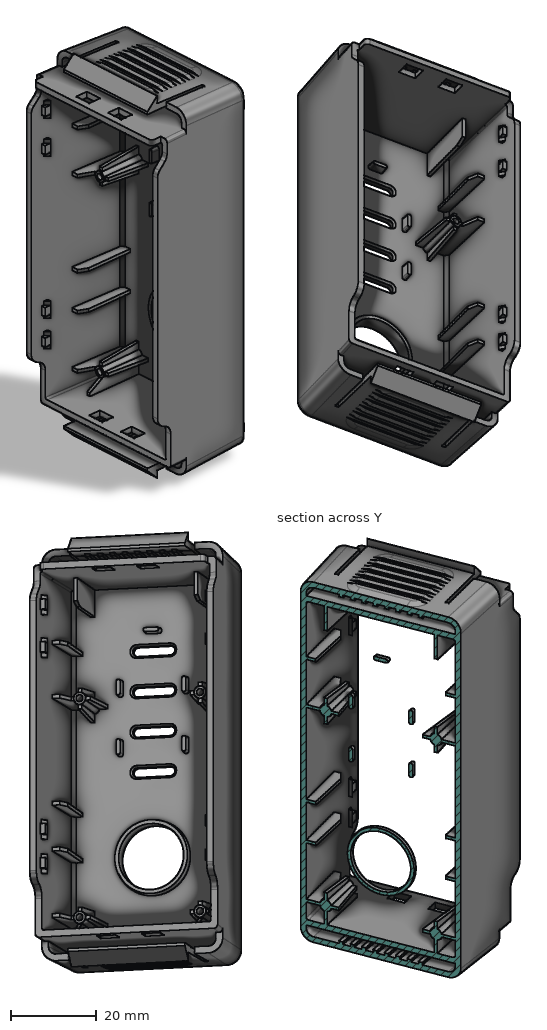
import cadquery as cq
import math


depth = 30.0
half_width = 22.1
half_height = 49.0
draft = math.tan(math.radians(2))
wall = 1.6
corner_radius = 3.5
back_chamfer_depth = 1.4
back_chamfer_inset = 1.7
straight_band = 0.6
floor_y = depth - wall
floor_chamfer = 0.9
root_y = floor_y + wall / 2
bevel_angle = 45
cut_clearance = 1.0

end_wall_y = 9.5
plate_outer = 44.0
plate_inner = plate_outer - wall
plate_corner_radius = 0.9
plate_inner_radius = 0.5
plate_half_width = 20.7
top_step_y = 3.1
bottom_step_y = 4.4
top_step_start = 35.0
top_step_radius = 2.4
bottom_step_start = -28.9
bottom_step_end = -34.7
top_plate_y = 0.2
tab_half_width = 19.9
tab_corner_radius = 1.0

window_x = 5.4
window_width = 4.5
window_depth = 3.5
window_setback = 1.9

latch_half_width = 14.1
latch_slot_width = 0.9
latch_slot_end = 21.9
latch_tip_y = 4.4
latch_back_y = 7.5
latch_bottom = 47.0
latch_nose = 47.7
latch_peak = 50.8
latch_overlap = 1.0

grip_center_y = 17.8
grip_width = 20.9
grip_length = 19.0
grip_radius = 3.8
grip_bevel = 1.9
grip_height = 0.4
groove_count = 5
groove_span = 11.6
groove_pitch = groove_span / (groove_count - 1)
groove_width = 1.3

stiffener_count = 8
stiffener_pitch = grip_width / (stiffener_count - 1)
stiffener_width = 1.1
stiffener_height = 0.6
stiffener_front_y = 8.1

slot_top_z = 27.3
slot_pitch = 9.5
slot_count = 4
slot_length = 10.2
slot_width = 2.2
slot_chamfer = 0.5
round_hole_z = -21.8
round_hole_radius = 7.8
collar_radius = 8.9
collar_height = 2.0
pad_size = (4.1, 1.3)
pad_height = 2.1
raised_taper = 5
pad_places = [
    (0, 32.0, 0),
    (-7.9, 18.7, 90), (7.9, 18.7, 90),
    (-7.9, 4.6, 90), (7.9, 4.6, 90),
]

boss_x = 14.5
boss_heights = (14.5, -37.4)
boss_radius = 1.6
boss_taper = 0.8
boss_hole_radius = 0.8
boss_hole_depth = 8.1
boss_y = 16.2
boss_rib_y = 16.6
rib_thickness = 0.9
rib_foot = 3.7
rib_head = 2.4
rib_tip_y = 12.7
wall_rib_heights = (27.3, -10.8, -21.6)
wall_rib_x = 17.1
wall_rib_tip_x = 18.3
wall_rib_shoulder_y = 15.2
boss_rib_shoulder_x = 16.5
rib_root_x = 20.3
top_rib_reach = 35.9
top_rib_tip = 36.9

bump_heights = (34.7, 24.6, -18.5, -26.6)
bump_length = 4.6
bump_block_length = 2.4
bump_inner_x = 19.3
bump_root_x = 20.9
bump_front_y = 3.2
bump_back_y = 5.1


def box(x0, x1, y0, y1, z0, z1):
    return cq.Workplane("XY").box(x1 - x0, y1 - y0, z1 - z0, centered=False).translate((x0, y0, z0))


def rounded_loft(start, end):
    """Solid between two rounded rectangles, each (y, half width, half height, corner radius)."""
    sketches = []
    for y, half_x, half_z, radius in (start, end):
        sketch = cq.Sketch().rect(2 * half_x, 2 * half_z).vertices().fillet(radius)
        sketches.append(sketch.moved(cq.Location(cq.Vector(0, 0, -y))))
    return cq.Workplane("XZ").placeSketch(*sketches).loft(ruled=True)


def section(y, inset=0.0):
    """Drafted shell section at depth y, moved inward by inset."""
    shrink = y * draft + inset
    return (y, half_width - shrink, half_height - shrink, corner_radius - inset)


def profile_x(points, half_thickness, x=0.0):
    """Extrude a (y, z) outline along X, centred on x."""
    outline = cq.Workplane("YZ", origin=(x, 0, 0)).polyline(points).close()
    return outline.extrude(half_thickness, both=True)


def profile_z(points, half_thickness, z):
    """Extrude an (x, y) outline along Z, centred on z."""
    outline = cq.Workplane("XY", origin=(0, 0, z)).polyline(points).close()
    return outline.extrude(half_thickness, both=True)


def both_sides(solid):
    return solid.union(solid.mirror("YZ"))


def both_ends(solid):
    return solid.union(solid.mirror("XY"))


def make_shell():
    band_y = depth - back_chamfer_depth - straight_band
    chamfer_y = depth - back_chamfer_depth
    band = section(band_y)
    chamfer_start = (chamfer_y,) + band[1:]
    back = (depth,) + tuple(size - back_chamfer_inset for size in band[1:])
    shell = rounded_loft(section(0), band)
    shell = shell.union(rounded_loft(band, chamfer_start))
    shell = shell.union(rounded_loft(chamfer_start, back))

    cavity_end = section(floor_y - floor_chamfer, wall)
    cavity_floor = (floor_y,) + tuple(size - floor_chamfer for size in cavity_end[1:])
    cavity = rounded_loft(section(0, wall), cavity_end)
    return shell.cut(cavity).cut(rounded_loft(cavity_end, cavity_floor))


def make_open_edge_cut():
    """Clears the end walls near the open edge and steps the side walls down at both ends."""
    reach = latch_peak + cut_clearance
    front_zone = box(-reach, reach, -cut_clearance, end_wall_y, -reach, reach)
    end_half_width = half_width - end_wall_y * draft
    kept = rounded_loft(
        (0, half_width, plate_outer, plate_corner_radius),
        (end_wall_y, end_half_width, plate_outer, plate_corner_radius),
    )

    bend = math.radians(bevel_angle)
    lead = top_step_radius * math.tan(bend / 2)
    ramp_start = top_step_start + lead
    ramp_end = ramp_start + top_step_y
    run = lead * math.cos(bend)
    mid = top_step_radius * math.sin(bend / 2)
    sag = top_step_radius * (1 - math.cos(bend / 2))
    top_step = (
        cq.Workplane("YZ")
        .moveTo(-cut_clearance, top_step_start)
        .lineTo(0, top_step_start)
        .threePointArc((sag, top_step_start + mid), (run, ramp_start + run))
        .lineTo(top_step_y - run, ramp_end - run)
        .threePointArc((top_step_y - sag, ramp_end + lead - mid), (top_step_y, ramp_end + lead))
        .lineTo(top_step_y, reach)
        .lineTo(-cut_clearance, reach)
        .close()
        .extrude(reach, both=True)
    )
    middle = (bottom_step_y / 2, (bottom_step_start + bottom_step_end) / 2)
    bottom_step = (
        cq.Workplane("YZ")
        .moveTo(0, bottom_step_start + cut_clearance)
        .lineTo(0, bottom_step_start)
        .tangentArcPoint(middle, relative=False)
        .tangentArcPoint((bottom_step_y, bottom_step_end), relative=False)
        .lineTo(bottom_step_y, -reach)
        .lineTo(-cut_clearance, -reach)
        .lineTo(-cut_clearance, bottom_step_start + cut_clearance)
        .close()
        .extrude(reach, both=True)
    )
    return front_zone.cut(kept).union(top_step).union(bottom_step)


def make_plate(front_y):
    """Upper partition plate, with rounded inner corners and two windows near its front edge."""
    lowest = plate_inner - plate_inner_radius
    plate = box(-plate_half_width, plate_half_width, front_y, root_y, lowest, plate_outer)
    room_half_width = half_width - wall
    room = rounded_loft(
        (0, room_half_width, plate_inner, plate_inner_radius),
        (depth, room_half_width - depth * draft, plate_inner, plate_inner_radius),
    )
    window_y = front_y + window_setback
    window = box(
        window_x - window_width / 2, window_x + window_width / 2,
        window_y, window_y + window_depth, plate_inner, plate_outer,
    )
    return plate.cut(room).cut(both_sides(window))


def make_top_plate():
    """The top plate runs past the stepped side walls as a narrower tab with rounded corners."""
    tab = box(-tab_half_width, tab_half_width, top_plate_y, depth, 0, plate_outer)
    tab = tab.edges("|Z and <Y").fillet(tab_corner_radius)
    rear = box(-half_width, half_width, top_step_y, depth, 0, plate_outer)
    return make_plate(top_plate_y).intersect(tab.union(rear))


def make_bottom_plate():
    return make_plate(bottom_step_y).mirror("XY")


def make_latch():
    """Hooked tongue with the stiffeners that run from it along the end wall."""
    wall_y = end_wall_y + latch_overlap
    tongue = profile_x(
        [
            (wall_y, latch_bottom),
            (latch_tip_y, latch_bottom),
            (latch_tip_y, latch_nose),
            (latch_back_y, latch_peak),
            (latch_back_y, half_height - latch_back_y * draft),
            (wall_y, half_height - wall_y * draft),
        ],
        latch_half_width,
    )
    end_y = floor_y - floor_chamfer
    inner_end = half_height - end_y * draft - wall
    for index in range(stiffener_count):
        x = (index - (stiffener_count - 1) / 2) * stiffener_pitch
        stiffener = profile_x(
            [
                (stiffener_front_y, latch_bottom),
                (stiffener_front_y + stiffener_height, latch_bottom - stiffener_height),
                (end_y, inner_end - stiffener_height),
                (end_y, inner_end + wall / 2),
                (end_wall_y, latch_bottom + wall / 2),
                (stiffener_front_y, latch_bottom + wall / 2),
            ],
            stiffener_width / 2,
            x,
        )
        tongue = tongue.union(stiffener)
    return tongue


def make_latch_slots():
    slot = box(
        latch_half_width, latch_half_width + latch_slot_width,
        0, latch_slot_end, plate_outer + wall / 2, latch_peak,
    )
    return both_sides(slot)


def make_grip():
    """Bevelled pad lying on the drafted end wall, split into bars by cross grooves."""
    surface_z = half_height - grip_center_y * draft
    plane = cq.Plane(origin=(0, grip_center_y, surface_z), xDir=(1, 0, 0), normal=(0, draft, 1))
    base = cq.Sketch().rect(grip_width, grip_length).vertices().fillet(grip_radius)
    top = cq.Sketch().rect(grip_width - 2 * grip_bevel, grip_length - 2 * grip_bevel)
    top = top.vertices().fillet(grip_radius - grip_bevel)
    top = top.moved(cq.Location(cq.Vector(0, 0, grip_height)))
    pad = cq.Workplane(plane).placeSketch(base, top).loft()
    root = cq.Workplane(plane).placeSketch(base).extrude(-wall / 4)
    middle = (groove_count - 1) / 2
    centers = [(0, (index - middle) * groove_pitch) for index in range(groove_count)]
    grooves = cq.Workplane(plane).pushPoints(centers).rect(2 * grip_width, groove_width)
    grooves = grooves.extrude(2 * grip_height)
    return pad.union(root).cut(grooves)


def make_raised_details():
    """Collar around the round hole and five small pads, all standing on the floor."""
    face = cq.Workplane("XZ", origin=(0, floor_y, 0))
    raised = face.center(0, round_hole_z).circle(collar_radius).extrude(collar_height, taper=raised_taper)
    for x, z, angle in pad_places:
        pad = face.center(x, z).slot2D(*pad_size, angle).extrude(pad_height, taper=raised_taper)
        raised = raised.union(pad)
    return raised


def make_floor_openings():
    """Round hole and slots through the floor; the slots are bevelled toward the cavity."""
    face = cq.Workplane("XZ", origin=(0, floor_y, 0))
    hole = cq.Workplane("XZ", origin=(0, depth, round_hole_z)).circle(round_hole_radius)
    hole = hole.extrude(wall + collar_height)
    centers = [(0, slot_top_z - index * slot_pitch) for index in range(slot_count)]
    slots = face.pushPoints(centers).slot2D(slot_length, slot_width).extrude(-wall)
    wide_length = slot_length + 2 * slot_chamfer
    wide_width = slot_width + 2 * slot_chamfer
    bevels = face.pushPoints(centers).slot2D(wide_length, wide_width)
    bevels = bevels.extrude(-slot_chamfer, taper=bevel_angle)
    return hole.union(slots).union(bevels)


def make_boss(z):
    """Screw boss with short tapered ribs and a taller rib toward the side wall."""
    boss = cq.Workplane("XZ", origin=(boss_x, root_y, z)).circle(boss_radius)
    boss = boss.extrude(root_y - boss_y, taper=boss_taper)
    inner_rib = profile_z(
        [
            (boss_x, boss_rib_y), (boss_x - rib_head, boss_rib_y),
            (boss_x - rib_foot, root_y), (boss_x, root_y),
        ],
        rib_thickness / 2, z,
    )
    cross_rib = profile_x(
        [
            (boss_rib_y, z - rib_head), (boss_rib_y, z + rib_head),
            (root_y, z + rib_foot), (root_y, z - rib_foot),
        ],
        rib_thickness / 2, boss_x,
    )
    side_rib = profile_z(
        [
            (boss_x, boss_rib_y), (boss_rib_shoulder_x, boss_rib_y), (wall_rib_tip_x, rib_tip_y),
            (rib_root_x, rib_tip_y), (rib_root_x, root_y), (boss_x, root_y),
        ],
        rib_thickness / 2, z,
    )
    return boss.union(inner_rib).union(cross_rib).union(side_rib)


def make_boss_hole(z):
    hole = cq.Workplane("XZ", origin=(boss_x, boss_y, z)).circle(boss_hole_radius)
    return hole.extrude(-boss_hole_depth)


def make_ribs():
    """Ribs on one side wall and on the partition plates, on the +X side."""
    lower_z = boss_heights[1]
    tip_end = plate_inner - rib_thickness
    plate_middle = plate_inner + wall / 2
    lower_rib = profile_x(
        [
            (boss_rib_y, lower_z), (boss_rib_y, lower_z - boss_radius),
            (rib_tip_y, -tip_end), (rib_tip_y, -plate_middle),
            (root_y, -plate_middle), (root_y, lower_z),
        ],
        rib_thickness / 2, boss_x,
    )
    upper_rib = profile_x(
        [
            (rib_tip_y, plate_middle), (rib_tip_y, top_rib_tip),
            (wall_rib_shoulder_y, top_rib_reach), (root_y, top_rib_reach),
            (root_y, plate_middle),
        ],
        rib_thickness / 2, boss_x,
    )
    ribs = lower_rib.union(upper_rib)
    for z in wall_rib_heights:
        wall_rib = profile_z(
            [
                (rib_root_x, rib_tip_y), (wall_rib_tip_x, rib_tip_y),
                (wall_rib_x, wall_rib_shoulder_y), (wall_rib_x, root_y), (rib_root_x, root_y),
            ],
            rib_thickness / 2, z,
        )
        ribs = ribs.union(wall_rib)
    return ribs


def make_bump(z):
    """Snap bump: a ramp with a square block in its middle."""
    ramp = profile_z(
        [
            (bump_root_x, bump_front_y), (bump_inner_x, bump_back_y), (bump_root_x, bump_back_y),
        ],
        bump_length / 2, z,
    )
    block = box(
        bump_inner_x, bump_root_x, bump_front_y, bump_back_y,
        z - bump_block_length / 2, z + bump_block_length / 2,
    )
    return ramp.union(block)


result = make_shell()
result = result.cut(make_open_edge_cut())
result = result.union(make_top_plate())
result = result.union(make_bottom_plate())
result = result.union(both_ends(make_latch()))
result = result.union(both_ends(make_grip()))
result = result.cut(both_ends(make_latch_slots()))
result = result.union(both_sides(make_ribs()))
for boss_z in boss_heights:
    result = result.union(both_sides(make_boss(boss_z)))
    result = result.cut(both_sides(make_boss_hole(boss_z)))
for bump_z in bump_heights:
    result = result.union(both_sides(make_bump(bump_z)))
result = result.union(make_raised_details())
result = result.cut(make_floor_openings())